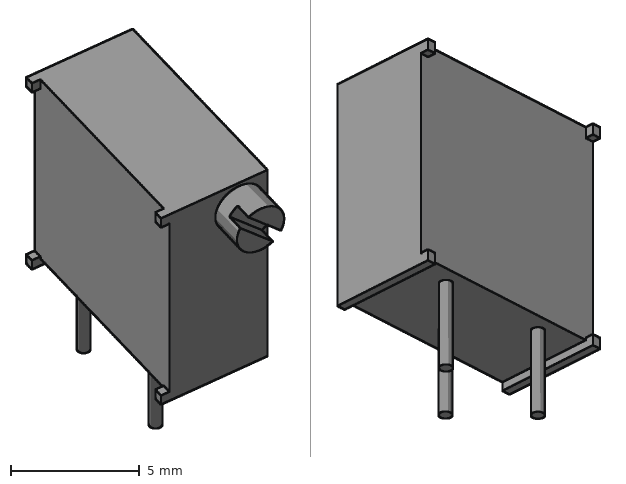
import cadquery as cq

overall_length = 11.05
overall_depth = 4.96
overall_height = 13.45

foot_width = 0.4
foot_height = 0.5
foot_projection = 0.39
rail_height = 0.39

case_length = 9.52
case_depth = overall_depth - foot_projection
case_bottom = 3.82
case_height = overall_height - case_bottom
case_back = case_depth
rail_bottom = case_bottom - rail_height

shaft_diameter = 2.2
shaft_length = overall_length - case_length
shaft_y = case_back - 1.33
shaft_z = overall_height - 1.28
slot_width = 0.54
slot_depth = 0.77
slot_angle = 45.0

pin_diameter = 0.55
pin_pitch = 2.54
middle_pin_y = case_back - 1.21
outer_pin_y = middle_pin_y - pin_pitch
pin_places = [
    (case_length / 2 - pin_pitch, outer_pin_y),
    (case_length / 2, middle_pin_y),
    (case_length / 2 + pin_pitch, outer_pin_y),
]


def corner_box(length, depth, height, corner):
    """Box grown along +X, +Y and +Z from its lowest corner."""
    return cq.Workplane("XY").box(length, depth, height, centered=False).translate(corner)


def make_case():
    """Block with four front corner feet and two rails running front to back underneath."""
    case = corner_box(case_length, case_depth, case_height, (0, 0, case_bottom))
    for foot_x in (0, case_length - foot_width):
        rail = corner_box(foot_width, case_depth, rail_height, (foot_x, 0, rail_bottom))
        case = case.union(rail)
        for foot_z in (rail_bottom, overall_height - foot_height):
            foot = corner_box(foot_width, foot_projection, foot_height, (foot_x, -foot_projection, foot_z))
            case = case.union(foot)
    return case


def make_shaft():
    """Round shaft on the +X side, with a diagonal slot right across its free end."""
    shaft = cq.Workplane("YZ").circle(shaft_diameter / 2).extrude(shaft_length)
    slot = (
        cq.Workplane("YZ")
        .workplane(offset=shaft_length - slot_depth)
        .rect(slot_width, 2 * shaft_diameter)
        .extrude(slot_depth)
        .rotate((0, 0, 0), (1, 0, 0), slot_angle)
    )
    return shaft.cut(slot).translate((case_length, shaft_y, shaft_z))


def make_pin(x, y):
    """Round pin from its tip up to the underside of the case."""
    return cq.Workplane("XY").center(x, y).circle(pin_diameter / 2).extrude(case_bottom)


case = make_case()
shaft = make_shaft()
pins = [make_pin(x, y) for x, y in pin_places]

result = cq.Compound.makeCompound([case.val(), shaft.val(), *[pin.val() for pin in pins]])